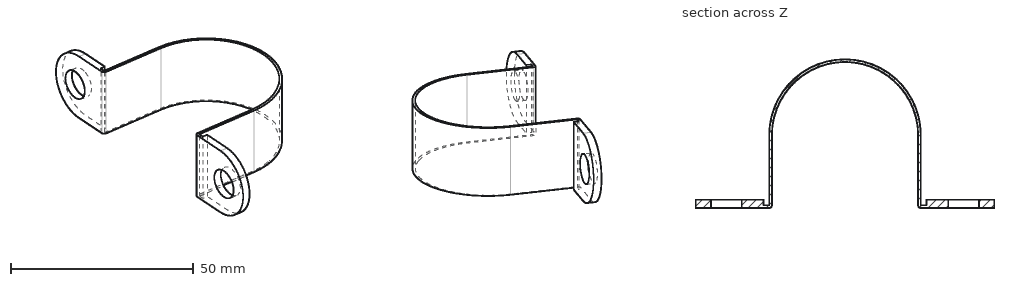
import cadquery as cq

inner_radius = 20.0
strap_thickness = 0.8
strap_width = 20.0
leg_length = 20.0
overall_length = 81.8
bend_radius = 0.8
ear_thickness = 2.3
ear_relief = 1.5
hole_spacing = 65.0
hole_diameter = 8.4

outer_radius = inner_radius + strap_thickness
ear_end = overall_length / 2
ear_end_radius = strap_width / 2
ear_arc_start = ear_end - ear_end_radius
thick_start = outer_radius + ear_relief


def make_arch():
    """Half-round arch with two straight legs standing on the plane Y = 0."""
    profile = (
        cq.Workplane("XY")
        .moveTo(-outer_radius, 0)
        .lineTo(-outer_radius, leg_length)
        .threePointArc((0, leg_length + outer_radius), (outer_radius, leg_length))
        .lineTo(outer_radius, 0)
        .lineTo(inner_radius, 0)
        .lineTo(inner_radius, leg_length)
        .threePointArc((0, leg_length + inner_radius), (-inner_radius, leg_length))
        .lineTo(-inner_radius, 0)
        .close()
    )
    return profile.extrude(strap_width / 2, both=True)


def make_ear_layer(start, thickness):
    """Round-ended plate on the +X side, from X = start, lying on the plane Y = 0."""
    half_width = strap_width / 2
    outline = (
        cq.Workplane("XZ")
        .moveTo(start, -half_width)
        .lineTo(ear_arc_start, -half_width)
        .threePointArc((ear_end, 0), (ear_arc_start, half_width))
        .lineTo(start, half_width)
        .close()
    )
    return outline.extrude(-thickness)


def make_ear():
    """Thin flange from the leg, thickened beyond the relief, with its screw hole."""
    flange = make_ear_layer(inner_radius, strap_thickness)
    pad = make_ear_layer(thick_start, ear_thickness)
    hole = (
        cq.Workplane("XZ")
        .center(hole_spacing / 2, 0)
        .circle(hole_diameter / 2)
        .extrude(-ear_thickness)
    )
    return flange.union(pad).cut(hole)


def round_bends(body):
    """Round the outside of both bends between legs and ears."""
    for side in (-1, 1):
        corner = cq.selectors.NearestToPointSelector((side * inner_radius, 0, 0))
        body = body.edges("|Z").edges(corner).fillet(bend_radius)
    return body


right_ear = make_ear()
left_ear = right_ear.mirror("YZ")
result = round_bends(make_arch().union(right_ear).union(left_ear))